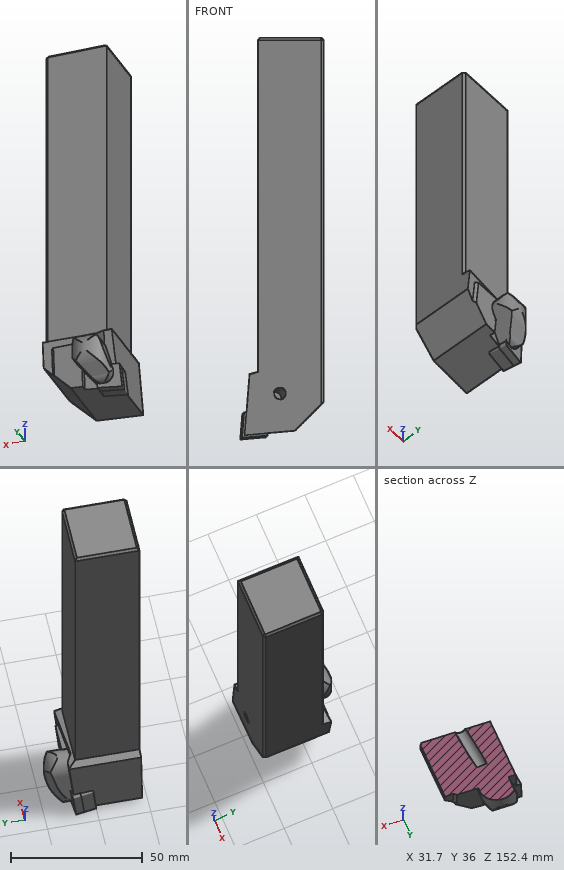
import cadquery as cq
import math

total_height = 152.4
shank_width = 25.0
shank_chamfer = 0.9

lead_angle = 5.0
head_top_z = 25.8
step_drop = 0.9
step_width = 3.2
head_corner_x = -5.0
head_corner_z = 1.7
nose_relief_x = 14.0

rake_angle = 5.5
ridge_y = 27.7
ridge_end_x = 0.0
valley_x = 4.0
valley_y = 25.8
pad_y = 28.5
pad_top_z = 24.1
pad_start_x = 9.1
pad_end_x = 20.4
pad_slope = 1.0

clamp_tail = (5.5, 15.8)
clamp_nose = (0.8, 6.5)
clamp_tail_radius = 6.4
clamp_nose_radius = 4.3
clamp_top_y = 36.0
clamp_root_y = 22.9
cross_foot_left = (-3.7, 27.7)
cross_shoulder_left = (-0.5, 33.8)
cross_crest = (4.9, clamp_top_y)
cross_shoulder_right = (9.6, 34.1)
cross_foot_right = (11.9, 29.9)
long_tail = (30.8, 22.3)
long_tail_shoulder = (34.5, 19.8)
long_crest = (clamp_top_y, 14.5)
long_crest_shoulder = (35.7, 11.7)
long_slope_start = (34.0, 8.5)
long_slope_end = (30.0, 4.3)
long_nose_shoulder = (28.8, 2.9)
long_nose = (26.8, 2.5)

hole_x = 8.4
hole_z = 17.5
hole_diameter = 4.4
hole_depth = 18.3

insert_tip = (-6.7, 25.9, 0.0)
insert_side = 9.8
insert_corner_angle = 80.0
insert_thickness = 3.2
insert_radius = 0.3
seat_thickness = 4.9

lead_tan = math.tan(math.radians(lead_angle))
rake_tan = math.tan(math.radians(rake_angle))
rake_normal = (-rake_tan, 1, -rake_tan)
relief_z = head_corner_z + (nose_relief_x - head_corner_x) * lead_tan
relief_top_z = relief_z + shank_width - nose_relief_x
step_edge_z = head_top_z - step_drop
head_blank_y = 36.5
big = 61.0


def prism_along_y(points, start_y, end_y):
    """Extrude an (x, z) outline from start_y to end_y."""
    plane = cq.Workplane("XZ", origin=(0, start_y, 0))
    return plane.polyline(points).close().extrude(start_y - end_y)


def make_shank():
    outline = [
        (0, relief_top_z),
        (shank_width, relief_top_z),
        (shank_width, total_height),
        (0, total_height),
    ]
    shank = prism_along_y(outline, 0, shank_width)
    shank = shank.edges("|Z and >X").chamfer(shank_chamfer)
    return shank.faces(">Z").chamfer(shank_chamfer)


def make_head():
    front_outline = [
        (head_corner_x, head_corner_z),
        (nose_relief_x, relief_z),
        (shank_width, relief_top_z),
        (shank_width, head_top_z),
        (0, head_top_z),
        (-step_width, step_edge_z),
    ]
    head = prism_along_y(front_outline, 0, head_blank_y)
    head = head.edges("|Z and >X and <Y").chamfer(shank_chamfer)
    side_outline = [
        (0, 0),
        (big, 0),
        (big, head_top_z - step_drop * (big - shank_width) / step_width),
        (shank_width, head_top_z),
        (0, head_top_z),
    ]
    side_prism = cq.Workplane("YZ", origin=(-big, 0, 0)).polyline(side_outline).close().extrude(2 * big)
    return head.intersect(side_prism).cut(make_rake_cutter())


def make_rake_cutter():
    """Everything above the rake side, swept along a direction tilted in the YZ plane.

    The raised pad shows only below pad_top_z.
    """
    def right_y(x):
        return valley_y + (x - valley_x) * rake_tan

    left_points = [(-big, big), (-big, ridge_y), (ridge_end_x, ridge_y), (valley_x, valley_y)]
    pad_points = [
        (pad_start_x, right_y(pad_start_x)),
        (pad_start_x, pad_y),
        (pad_end_x, pad_y),
        (pad_end_x + pad_slope, right_y(pad_end_x + pad_slope)),
    ]
    right_points = [(big, right_y(big)), (big, big)]

    origin = (0, (pad_top_z - step_edge_z) * rake_tan, pad_top_z)
    plane = cq.Plane(origin=origin, xDir=(1, 0, 0), normal=(0, rake_tan, 1))
    lower = cq.Workplane(plane).polyline(left_points + pad_points + right_points).close().extrude(-big)
    upper = cq.Workplane(plane).polyline(left_points + right_points).close().extrude(big)
    return lower.union(upper)


def make_clamp():
    def plan_disc(centre, radius):
        disc = cq.Workplane("XZ", origin=(centre[0], clamp_root_y, centre[1])).circle(radius)
        return disc.extrude(clamp_root_y - clamp_top_y)

    run_x = clamp_tail[0] - clamp_nose[0]
    run_z = clamp_tail[1] - clamp_nose[1]
    axis = math.atan2(run_z, run_x)
    spread = math.acos((clamp_nose_radius - clamp_tail_radius) / math.hypot(run_x, run_z))
    flank_points = []
    for centre, radius, sides in (
        (clamp_nose, clamp_nose_radius, (1, -1)),
        (clamp_tail, clamp_tail_radius, (-1, 1)),
    ):
        for side in sides:
            angle = axis + side * spread
            flank_points.append((centre[0] + radius * math.cos(angle), centre[1] + radius * math.sin(angle)))
    web = prism_along_y(flank_points, clamp_root_y, clamp_top_y)
    plan = plan_disc(clamp_tail, clamp_tail_radius).union(plan_disc(clamp_nose, clamp_nose_radius)).union(web)

    cross_dome = (
        cq.Workplane("XY", origin=(0, 0, -big))
        .moveTo(cross_foot_left[0], clamp_root_y)
        .lineTo(*cross_foot_left)
        .threePointArc(cross_shoulder_left, cross_crest)
        .threePointArc(cross_shoulder_right, cross_foot_right)
        .lineTo(cross_foot_right[0], clamp_root_y)
        .close()
        .extrude(2 * big)
    )
    long_dome = (
        cq.Workplane("YZ", origin=(-big, 0, 0))
        .moveTo(clamp_root_y, long_tail[1])
        .lineTo(*long_tail)
        .threePointArc(long_tail_shoulder, long_crest)
        .threePointArc(long_crest_shoulder, long_slope_start)
        .lineTo(*long_slope_end)
        .threePointArc(long_nose_shoulder, long_nose)
        .lineTo(clamp_root_y, long_nose[1])
        .close()
        .extrude(2 * big)
    )
    return plan.intersect(cross_dome).intersect(long_dome)


def rhombic_plate(top_depth, thickness):
    """A plate of the insert's outline below the tilted rake plane."""
    lead = math.radians(lead_angle)
    edge = (math.cos(lead), rake_tan * (math.cos(lead) + math.sin(lead)), math.sin(lead))
    plane = cq.Plane(origin=insert_tip, xDir=edge, normal=rake_normal)
    corner = math.radians(insert_corner_angle)
    lean_x = insert_side * math.cos(corner)
    lean_y = -insert_side * math.sin(corner)
    outline = [
        (0, 0),
        (insert_side, 0),
        (insert_side + lean_x, lean_y),
        (lean_x, lean_y),
    ]
    plate = cq.Workplane(plane).workplane(offset=-top_depth)
    plate = plate.polyline(outline).close().extrude(-thickness)
    local_edges = cq.selectors.ParallelDirSelector(plane.zDir)
    return plate.edges(local_edges).fillet(insert_radius)


def make_insert():
    return rhombic_plate(0, insert_thickness)


def make_seat():
    return rhombic_plate(insert_thickness, seat_thickness)


def make_screw_hole():
    """A blind hole from the -Y face, square to the rake side."""
    plane = cq.Plane(origin=(hole_x, 0, hole_z), xDir=(1, rake_tan, 0), normal=rake_normal)
    lead_in = hole_diameter
    return cq.Workplane(plane).workplane(offset=-lead_in).circle(hole_diameter / 2).extrude(hole_depth + lead_in)


def make_holder():
    body = make_shank().union(make_head()).cut(make_screw_hole()).union(make_clamp())
    return body.union(make_seat()).cut(make_insert())


holder = make_holder()
insert = make_insert()
result = cq.Compound.makeCompound([holder.val(), insert.val()])